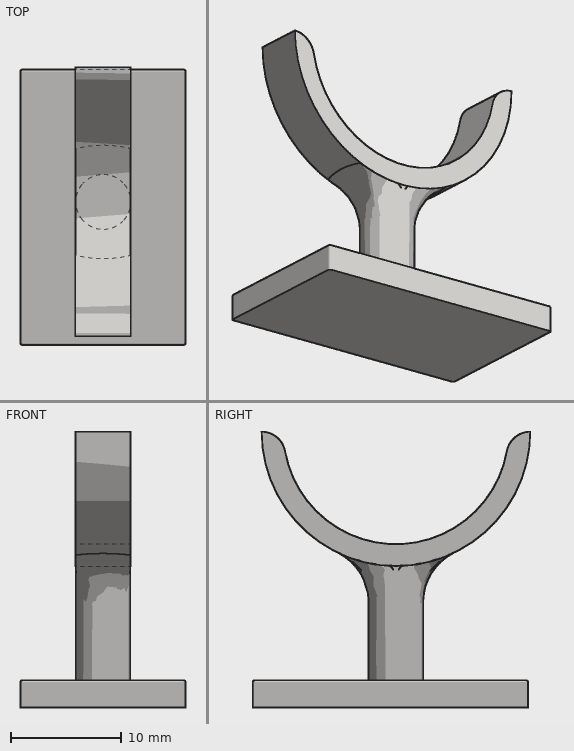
import cadquery as cq
import math

BASE_WIDTH = 15.0
BASE_LENGTH = 25.0
BASE_HEIGHT = 2.5
BASE_ROUND = 0.2

POST_DIAMETER = 5.0
POST_RADIUS = POST_DIAMETER / 2
CRADLE_HALF_WIDTH = POST_RADIUS
CRADLE_RADIUS = 12.2
CRADLE_WALL = 2.0
CRADLE_INNER_RADIUS = CRADLE_RADIUS - CRADLE_WALL
CRADLE_TOP = 25.05
CRADLE_Y = 0.5
TIP_ROUND = (CRADLE_RADIUS**2 - CRADLE_INNER_RADIUS**2) / (2 * CRADLE_INNER_RADIUS)
TIP_SHARE = CRADLE_INNER_RADIUS / (CRADLE_INNER_RADIUS + TIP_ROUND)

FLARE_RADIUS = 5.0
FLARE_AXIS_RADIUS = POST_RADIUS + FLARE_RADIUS
EDGE_ANGLE = math.degrees(math.asin(CRADLE_HALF_WIDTH / FLARE_AXIS_RADIUS))
FLARE_END_ANGLE = 86.0
FLARE_STEPS = 6
FLARE_INSET = 0.005
CORE_DEPTH = 3.53
SEAM_TURN_POST = 45.0
SEAM_TURN_CRADLE = 90.0
POST_BLANK_TOP = 13.85


def make_base():
    base = cq.Workplane("XY").box(BASE_WIDTH, BASE_LENGTH, BASE_HEIGHT, centered=(True, True, False))
    return base.edges("|Z or >Z").fillet(BASE_ROUND)


def make_cradle():
    tip_y = CRADLE_RADIUS * TIP_SHARE
    tip_z = -TIP_ROUND * TIP_SHARE
    profile = (
        cq.Workplane("YZ", origin=(-CRADLE_HALF_WIDTH, CRADLE_Y, CRADLE_TOP))
        .moveTo(-CRADLE_RADIUS, 0)
        .threePointArc((0, -CRADLE_RADIUS), (CRADLE_RADIUS, 0))
        .radiusArc((tip_y, tip_z), -TIP_ROUND)
        .threePointArc((0, -CRADLE_INNER_RADIUS), (-tip_y, tip_z))
        .radiusArc((-CRADLE_RADIUS, 0), -TIP_ROUND)
        .close()
    )
    return profile.extrude(2 * CRADLE_HALF_WIDTH)


def flare_section(angle):
    """Closed section of the flare where a ball touches the post at this angle from +Y."""
    sin_a = math.sin(math.radians(angle))
    cos_a = math.cos(math.radians(angle))
    ball_x = FLARE_AXIS_RADIUS * sin_a
    ball_y = FLARE_AXIS_RADIUS * cos_a

    touch_x = max(-CRADLE_HALF_WIDTH, min(CRADLE_HALF_WIDTH, ball_x))
    slice_radius = math.sqrt(FLARE_RADIUS**2 - (ball_x - touch_x) ** 2)
    reach = CRADLE_RADIUS + slice_radius
    ball_drop = math.sqrt(reach**2 - ball_y**2)
    ball_z = CRADLE_TOP - ball_drop
    ratio = (CRADLE_RADIUS - FLARE_INSET) / reach

    ball = cq.Vector(ball_x, ball_y, ball_z)
    rim_radius = POST_RADIUS - FLARE_INSET
    on_post = cq.Vector(rim_radius * sin_a, rim_radius * cos_a, ball_z)
    on_cradle = cq.Vector(touch_x, ball_y * ratio, CRADLE_TOP - ball_drop * ratio)
    core = on_cradle - cq.Vector(sin_a, cos_a, 0) * CORE_DEPTH
    toward_middle = (on_post - ball) + (on_cradle - ball)
    middle = ball + toward_middle.normalized() * FLARE_RADIUS
    return cq.Wire.assembleEdges([
        cq.Edge.makeThreePointArc(on_post, middle, on_cradle),
        cq.Edge.makeLine(on_cradle, core),
        cq.Edge.makeLine(core, on_post),
    ])


def flare_patch(start, end):
    step = (end - start) / FLARE_STEPS
    return cq.Solid.makeLoft([flare_section(start + i * step) for i in range(FLARE_STEPS + 1)])


def make_cradle_space():
    """Full disc the cradle is rolled from, turned so its seam is clear of the flare."""
    disc = (
        cq.Workplane("YZ", origin=(0, 0, CRADLE_TOP))
        .circle(CRADLE_RADIUS)
        .extrude(2 * CRADLE_HALF_WIDTH, both=True)
    )
    return disc.rotate((0, 0, CRADLE_TOP), (1, 0, CRADLE_TOP), SEAM_TURN_CRADLE)


def make_post():
    cradle_space = make_cradle_space()
    post = (
        cq.Workplane("XY", origin=(0, 0, BASE_HEIGHT))
        .circle(POST_RADIUS)
        .extrude(POST_BLANK_TOP - BASE_HEIGHT)
        .rotate((0, 0, 0), (0, 0, 1), SEAM_TURN_POST)
        .cut(cradle_space)
    )
    patch_angles = [-FLARE_END_ANGLE, -EDGE_ANGLE, EDGE_ANGLE, FLARE_END_ANGLE]
    for start, end in zip(patch_angles, patch_angles[1:]):
        patch = cq.Workplane(flare_patch(start, end)).cut(cradle_space)
        post = post.union(patch).union(patch.mirror("XZ"))
    return post.translate((0, CRADLE_Y, 0))


base = make_base()
post = make_post()
cradle = make_cradle()
result = cq.Compound.makeCompound([base.val(), post.solids().val(), cradle.val()])